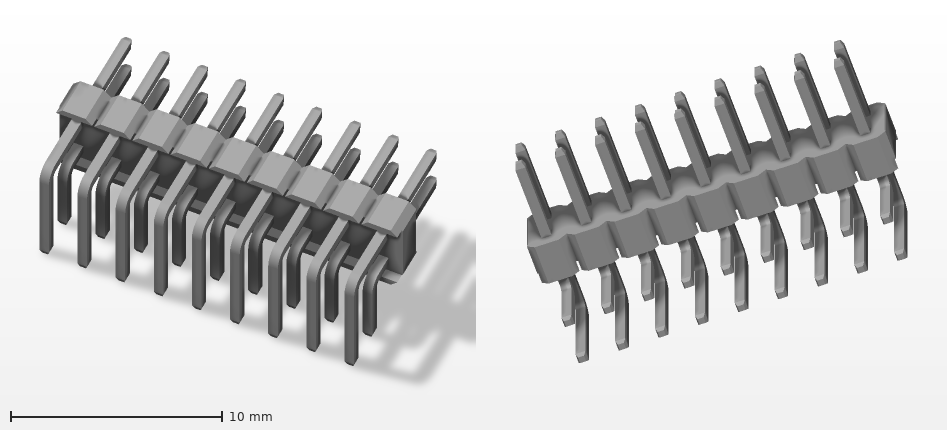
import cadquery as cq


LENGTH = 18.0
COLUMNS = 9
PITCH = LENGTH / COLUMNS

HOUSING_HEIGHT = 2 * PITCH
HOUSING_DEPTH = PITCH
NOTCH_DEPTH = 0.4
LIP_THICKNESS = 0.35
LIP_OVERHANG = 0.5
BEVEL = 0.05
BEVEL_HEIGHT = 2.95

PIN_WIDTH = 0.5
BEND_OUTER_RADIUS = 0.75
BEND_INNER_RADIUS = BEND_OUTER_RADIUS - PIN_WIDTH
TIP_LENGTH = 0.27
TIP_WIDTH = 0.3
BACK_REACH = 4.01
FRONT_REACH = 3.3
DOWN_REACH = 4.8

UPPER_ROW = (-HOUSING_DEPTH - FRONT_REACH, PITCH / 2)
LOWER_ROW = (UPPER_ROW[0] + PITCH, -PITCH / 2)


def make_housing():
    """A row of octagonal cells whose chamfers form V notches, with a recessed front."""
    top = HOUSING_HEIGHT / 2
    shoulder = top - NOTCH_DEPTH
    lower_edge = []
    upper_edge = []
    for column in range(COLUMNS):
        left = column * PITCH
        right = left + PITCH
        cell_top = [(left, shoulder), (left + NOTCH_DEPTH, top), (right - NOTCH_DEPTH, top)]
        upper_edge += cell_top
        lower_edge += [(x, -z) for x, z in cell_top]
    ends = [(LENGTH, shoulder), (LENGTH, -shoulder)]
    outline = upper_edge + ends + lower_edge[::-1]
    housing = cq.Workplane("XZ").polyline(outline).close().extrude(HOUSING_DEPTH)

    recess = cq.Workplane("XY").box(
        LENGTH,
        LIP_OVERHANG,
        HOUSING_HEIGHT - 2 * LIP_THICKNESS,
        centered=(False, False, True),
    )
    housing = housing.cut(recess.translate((0, -HOUSING_DEPTH, 0)))
    for end_x, inward in ((0, 1), (LENGTH, -1)):
        housing = housing.cut(make_corner_bevel(end_x, inward))
    return housing


def make_corner_bevel(end_x, inward):
    """A wedge that bevels an upright back corner and stops short of the V notches."""
    wedge = [(end_x, 0), (end_x + inward * BEVEL, 0), (end_x, -BEVEL)]
    base = cq.Workplane("XY").workplane(offset=-BEVEL_HEIGHT / 2)
    return base.polyline(wedge).close().extrude(BEVEL_HEIGHT)


def make_pin(front, height):
    """A bent square pin centred on x = 0, with tapered tips at both ends."""
    top = height + PIN_WIDTH / 2
    bottom = top - PIN_WIDTH
    back = BACK_REACH - TIP_LENGTH
    foot = TIP_LENGTH - DOWN_REACH
    bend_y = front + BEND_OUTER_RADIUS
    bend_z = top - BEND_OUTER_RADIUS
    shank = (
        cq.Workplane("YZ", origin=(-PIN_WIDTH / 2, 0, 0))
        .moveTo(back, top)
        .lineTo(bend_y, top)
        .radiusArc((front, bend_z), -BEND_OUTER_RADIUS)
        .lineTo(front, foot)
        .lineTo(front + PIN_WIDTH, foot)
        .lineTo(front + PIN_WIDTH, bend_z)
        .radiusArc((bend_y, bottom), BEND_INNER_RADIUS)
        .lineTo(back, bottom)
        .close()
        .extrude(PIN_WIDTH)
    )
    back_tip = make_tip(cq.Plane((0, back, height), xDir=(1, 0, 0), normal=(0, 1, 0)))
    foot_centre = (0, front + PIN_WIDTH / 2, foot)
    foot_tip = make_tip(cq.Plane(foot_centre, xDir=(1, 0, 0), normal=(0, 0, -1)))
    return shank.union(back_tip).union(foot_tip)


def make_tip(plane):
    """A short square taper rising from the given plane."""
    return (
        cq.Workplane(plane)
        .rect(PIN_WIDTH, PIN_WIDTH)
        .workplane(offset=TIP_LENGTH)
        .rect(TIP_WIDTH, TIP_WIDTH)
        .loft(ruled=True)
    )


result = make_housing()
for row_front, row_height in (UPPER_ROW, LOWER_ROW):
    pin = make_pin(row_front, row_height)
    for column in range(COLUMNS):
        result = result.union(pin.translate(((column + 0.5) * PITCH, 0, 0)))